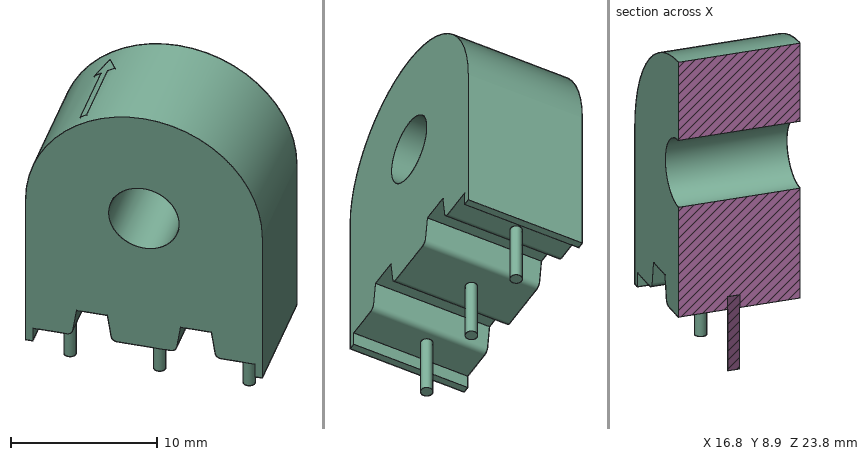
import cadquery as cq
import math


width = 16.8
depth = 8.9
crown_radius = width / 2
hole_diameter = 5.0
total_height = 23.8
pin_end_z = crown_radius - total_height
pin_exposed = 4.62
floor_z = pin_end_z + pin_exposed
skirt_drop = 1.07
skirt_thickness = 0.52

notch_offset = 3.69
notch_top_width = 2.2
notch_mouth_width = 2.83
notch_height = 2.1
notch_mouth_radius = 0.45

pin_diameter = 0.85
pin_pitch = 6.35
pin_y = -0.4
pin_embedded = 0.95
pin_xs = [-pin_pitch, 0, pin_pitch]

arrow_tilt = 33.0
arrow_length = 6.85
arrow_head_length = 1.5
arrow_head_width = 1.75
arrow_shaft_width = 0.55
arrow_thickness = 0.24


def make_crowned_block():
    """Round-topped block with a thin skirt below each side wall."""
    half_width = width / 2
    inner_half_width = half_width - skirt_thickness
    skirt_z = floor_z - skirt_drop
    return (
        cq.Workplane("XZ")
        .moveTo(-half_width, 0)
        .threePointArc((0, crown_radius), (half_width, 0))
        .lineTo(half_width, skirt_z)
        .lineTo(inner_half_width, skirt_z)
        .lineTo(inner_half_width, floor_z)
        .lineTo(-inner_half_width, floor_z)
        .lineTo(-inner_half_width, skirt_z)
        .lineTo(-half_width, skirt_z)
        .close()
        .extrude(depth / 2, both=True)
    )


def make_notch(center_x):
    """Tapered cutter, wider at its mouth in the housing floor."""
    half_top = notch_top_width / 2
    half_mouth = notch_mouth_width / 2
    return (
        cq.Workplane("XZ")
        .polyline([
            (center_x - half_mouth, floor_z),
            (center_x - half_top, floor_z + notch_height),
            (center_x + half_top, floor_z + notch_height),
            (center_x + half_mouth, floor_z),
        ])
        .close()
        .extrude(depth / 2, both=True)
    )


def round_notch_mouths(body):
    """Round the edges where the notch sides meet the housing floor."""
    half_depth = depth / 2
    reach = notch_offset + notch_mouth_width
    margin = 0.02
    mouth_edges = cq.selectors.BoxSelector(
        (-reach, -half_depth, floor_z - margin),
        (reach, half_depth, floor_z + margin),
    )
    return body.edges("|Y").edges(mouth_edges).fillet(notch_mouth_radius)


def make_arrow():
    """Arrow whose outer face follows the crown and whose back is flat."""
    tilt = math.radians(arrow_tilt)
    outward = (-math.sin(tilt), 0, math.cos(tilt))
    across = (math.cos(tilt), 0, math.sin(tilt))
    back_distance = crown_radius - arrow_thickness
    back_plane = cq.Plane(
        origin=tuple(back_distance * component for component in outward),
        xDir=across,
        normal=outward,
    )
    tip = arrow_length / 2
    head_base = tip - arrow_head_length
    half_head = arrow_head_width / 2
    half_shaft = arrow_shaft_width / 2
    prism = (
        cq.Workplane(back_plane)
        .polyline([
            (0, tip),
            (half_head, head_base),
            (half_shaft, head_base),
            (half_shaft, -tip),
            (-half_shaft, -tip),
            (-half_shaft, head_base),
            (-half_head, head_base),
        ])
        .close()
        .extrude(2 * arrow_thickness)
    )
    crown = cq.Workplane("XZ").circle(crown_radius).extrude(depth / 2, both=True)
    return prism.intersect(crown)


def make_pin(x):
    """Round pin, partly embedded in the housing floor."""
    return (
        cq.Workplane("XY", origin=(x, pin_y, pin_end_z))
        .circle(pin_diameter / 2)
        .extrude(pin_exposed + pin_embedded)
    )


def make_housing(pins, arrow):
    """Housing with its through hole, notches, pin sockets and arrow recess."""
    body = make_crowned_block()
    for center_x in (-notch_offset, notch_offset):
        body = body.cut(make_notch(center_x))
    body = round_notch_mouths(body)
    hole = cq.Workplane("XZ").circle(hole_diameter / 2).extrude(depth / 2, both=True)
    body = body.cut(hole)
    for pin in pins:
        body = body.cut(pin)
    return body.cut(arrow)


pins = [make_pin(x) for x in pin_xs]
arrow = make_arrow()
housing = make_housing(pins, arrow)

result = cq.Compound.makeCompound([
    *housing.solids().vals(),
    *[pin.val() for pin in pins],
    *arrow.solids().vals(),
])